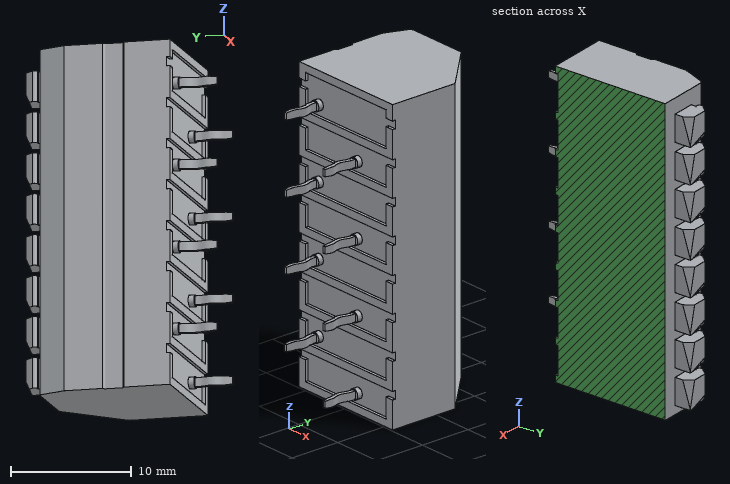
import cadquery as cq


total_height = 29.5
module_count = 8
end_plate_thickness = 1.5
module_pitch = (total_height - end_plate_thickness) / module_count

housing_width = 12.0
housing_depth = 11.55
funnel_leg = 4.72
lead_slope_start = 9.15
lead_slope_width = 0.95
lead_slope_radius = 0.5
groove_low = 3.95
groove_high = 5.8
groove_depth = 0.2
groove_low_run = 0.18
groove_high_run = 0.25
groove_end_radius = 0.25

relief_depth = 0.3
rim_bar = 0.75
rim_post = 0.85
side_gap = 0.77

pin_x_left = 2.3
pin_spacing = 5.0
collar_diameter = 1.0
collar_height = 0.2
pin_thickness = 0.38
pin_width = 0.77
pin_bend = 0.3
bend_start = 0.77
bend_peak = 1.65
bend_end = 2.57
bend_radius = 1.18
pin_straight_end = 2.85
pin_length = 3.45
tip_thickness = 0.27
tip_width = 0.65

lever_left = 2.0
lever_stem_left = 2.48
lever_right = 4.7
lever_height = 1.6
lever_z_width = 2.63
lever_undercut = 0.47
lever_nose_top = 0.85
lever_nose_bottom = 0.77
nose_depth = 0.15
lever_slope_end = 2.65
nose_radius = 0.35
upper_cut_x = 0.6
upper_cut_y = 0.8
upper_cut_z = 2.5
lower_cut_x = 1.77
lower_cut_y = 0.38
lower_cut_z = 0.68


def make_housing():
    block = (
        cq.Workplane("XY")
        .moveTo(0, 0)
        .lineTo(housing_width, 0)
        .lineTo(housing_width, housing_depth - funnel_leg)
        .lineTo(housing_width - funnel_leg, housing_depth)
        .lineTo(lead_slope_width, housing_depth)
        .lineTo(0, lead_slope_start)
        .lineTo(0, groove_high)
        .radiusArc((groove_depth, groove_high - groove_high_run), groove_end_radius)
        .lineTo(groove_depth, groove_low + groove_low_run)
        .lineTo(0, groove_low)
        .close()
        .extrude(total_height)
    )
    corner = cq.selectors.NearestToPointSelector((lead_slope_width, housing_depth, total_height / 2))
    return block.edges("|Z").edges(corner).fillet(lead_slope_radius)


def relief_box(x_start, x_end, z_start, z_end):
    size = (x_end - x_start, relief_depth, z_end - z_start)
    return cq.Workplane("XY").box(*size, centered=False).translate((x_start, 0, z_start))


def cut_relief(housing):
    """Leave a U-shaped rim on every module and an inverted one on the end plate."""
    inner_right = housing_width - rim_post
    for index in range(module_count):
        module_bottom = index * module_pitch
        module_top = module_bottom + module_pitch
        housing = housing.cut(relief_box(rim_post, inner_right, module_bottom + rim_bar, module_top))
        housing = housing.cut(relief_box(0, housing_width, module_top - side_gap, module_top))
    plate_bottom = total_height - end_plate_thickness
    return housing.cut(relief_box(rim_post, inner_right, plate_bottom, total_height - rim_bar))


def make_pin(bend_direction):
    """Kinked solder pin pointing along -Y, centred on X = 0 and Z = 0."""
    bend = bend_direction * pin_bend
    half = pin_thickness / 2
    centre_line = [
        (0, relief_depth),
        (0, -bend_start),
        (bend, -bend_peak),
        (0, -bend_end),
        (0, -pin_straight_end),
    ]
    left_side = [(x - half, y) for x, y in centre_line]
    right_side = [(x + half, y) for x, y in reversed(centre_line)]
    shank = cq.Workplane("XY").polyline(left_side + right_side).close().extrude(pin_width / 2, both=True)
    bend_zone = cq.selectors.BoxSelector(
        (-pin_width, -bend_end - half, -pin_width), (pin_width, -bend_start + half, pin_width)
    )
    shank = shank.edges("|Z").edges(bend_zone).fillet(bend_radius)

    tip = (
        cq.Workplane("XZ", origin=(0, -pin_straight_end, 0))
        .rect(pin_thickness, pin_width)
        .workplane(offset=pin_length - pin_straight_end)
        .rect(tip_thickness, tip_width)
        .loft()
    )
    collar = (
        cq.Workplane("XZ", origin=(0, relief_depth, 0))
        .circle(collar_diameter / 2)
        .extrude(relief_depth + collar_height)
    )
    return shank.union(tip).union(collar)


def corner_wedge(corner, points):
    """Tetrahedron spanned by a corner and three points on the edges that meet there."""
    def triangle(a, b, c):
        return cq.Face.makeFromWires(cq.Wire.makePolygon([cq.Vector(*p) for p in (a, b, c)], close=True))

    p, q, r = points
    faces = [triangle(corner, p, q), triangle(corner, q, r), triangle(corner, r, p), triangle(p, q, r)]
    return cq.Workplane(obj=cq.Solid.makeSolid(cq.Shell.makeShell(faces)))


def make_lever():
    """Hooked lever standing on the back of the housing, with its lower side on Z = 0."""
    base = housing_depth
    top = base + lever_height
    slope = (lever_slope_end - lever_left) / (lever_height - lever_nose_top)
    lever = (
        cq.Workplane("XY")
        .moveTo(lever_stem_left, base)
        .lineTo(lever_right, base)
        .lineTo(lever_right, top)
        .lineTo(lever_slope_end, top)
        .lineTo(lever_left, base + lever_nose_top)
        .lineTo(lever_left, base + lever_nose_bottom)
        .radiusArc((lever_left + nose_depth, base + lever_undercut), -nose_radius)
        .lineTo(lever_stem_left, base + lever_undercut)
        .close()
        .extrude(lever_z_width)
    )
    upper_cut = corner_wedge(
        (lever_right, top, lever_z_width),
        [
            (lever_right - upper_cut_x, top, lever_z_width),
            (lever_right, top - upper_cut_y, lever_z_width),
            (lever_right, top, lever_z_width - upper_cut_z),
        ],
    )
    lower_cut = corner_wedge(
        (lever_slope_end, top, 0),
        [
            (lever_slope_end + lower_cut_x, top, 0),
            (lever_slope_end - slope * lower_cut_y, top - lower_cut_y, 0),
            (lever_slope_end, top, lower_cut_z),
        ],
    )
    return lever.cut(upper_cut).cut(lower_cut)


result = cut_relief(make_housing())
left_pin = make_pin(1).translate((pin_x_left, 0, 0))
right_pin = make_pin(-1).translate((pin_x_left + pin_spacing, 0, 0))
lever = make_lever()

for index in range(module_count):
    module_bottom = index * module_pitch
    pin = left_pin if index % 2 else right_pin
    result = result.union(pin.translate((0, 0, module_bottom + module_pitch / 2)))
    result = result.union(lever.translate((0, 0, module_bottom + module_pitch - lever_z_width)))